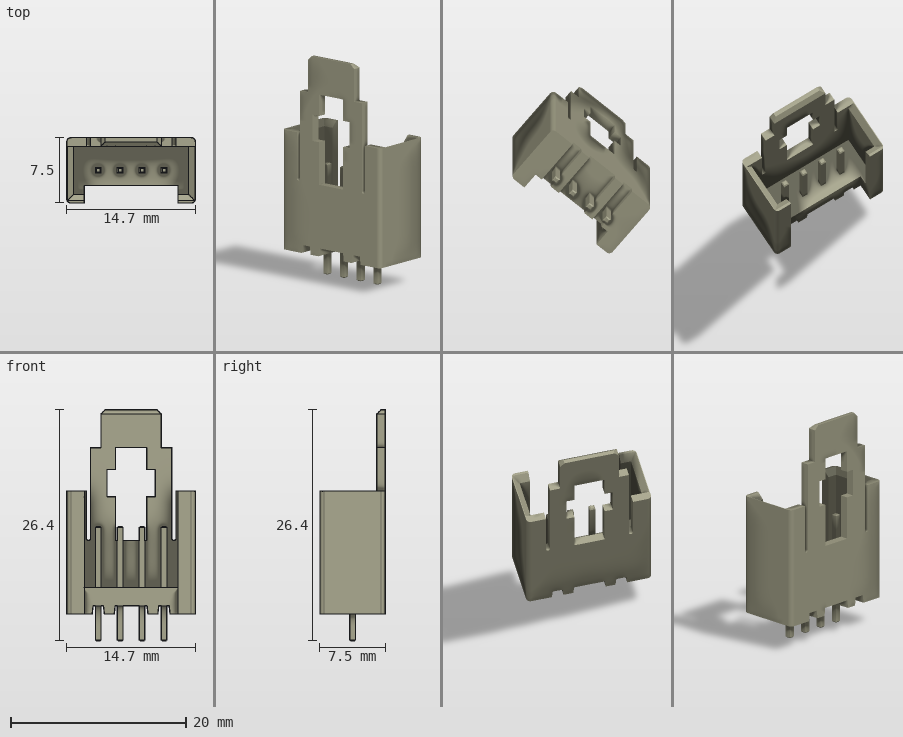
import cadquery as cq


total_height = 26.4

width = 14.7
depth = 7.5
housing_height = 14.07
corner_radius = 0.5
side_wall = 0.8
front_lip = 1.0
back_wall = 1.0
floor_top = 3.04
lead_in = 0.7

opening_width = 10.7
opening_depth = 2.0

latch_top = 23.35
latch_width = 9.3
shoulder_height = 19.0
head_width = 6.92
head_chamfer = 0.5

slot_width = 0.48
slot_bottom = 8.42
window_width = 3.56
window_wide_width = 5.5
window_wide_bottom = 13.4
window_wide_top = 16.5

notch_height = 0.95
notch_flare = 0.1
center_notch_width = 3.62
outer_notch_width = 1.15
outer_notch_x = 3.75

pin_count = 4
pin_pitch = 2.5
pin_size = 0.65
pin_top = 10.0
pin_bottom = latch_top - total_height
pin_chamfer = 0.13

back_y = depth / 2
front_y = -depth / 2
wall_face_y = back_y - back_wall
cavity_width = width - 2 * side_wall
cavity_depth = depth - front_lip - back_wall
cavity_y = (wall_face_y + front_y + front_lip) / 2


def block(x_size, y_min, y_max, z_min, z_max):
    """Box centred on X = 0, spanning the given Y and Z ranges."""
    size = (x_size, y_max - y_min, z_max - z_min)
    return cq.Workplane("XY").box(*size, centered=(True, False, False)).translate((0, y_min, z_min))


def make_shell():
    """Rounded housing with an open-topped cavity and a wide front opening."""
    shell = block(width, front_y, back_y, 0, housing_height).edges("|Z").fillet(corner_radius)
    cavity = block(cavity_width, front_y + front_lip, wall_face_y, floor_top, housing_height)
    opening = block(opening_width, front_y, front_y + opening_depth, 0, housing_height)
    return shell.cut(cavity).cut(make_lead_in()).cut(opening)


def make_lead_in():
    """45 degree flare around the cavity mouth, on the sides and front but not on the back wall."""
    flare = (
        cq.Workplane("XY", origin=(0, cavity_y, housing_height - lead_in))
        .rect(cavity_width, cavity_depth)
        .workplane(offset=lead_in)
        .rect(cavity_width + 2 * lead_in, cavity_depth + 2 * lead_in)
        .loft(ruled=True)
    )
    return flare.intersect(block(width, front_y, wall_face_y, 0, housing_height))


def make_latch():
    """Stepped plate standing on the back wall, its head chamfered at the front and sides."""
    head = block(head_width, wall_face_y, back_y, slot_bottom, latch_top)
    head = head.faces(">Z").edges("<Y or <X or >X").chamfer(head_chamfer)
    return head.union(block(latch_width, wall_face_y, back_y, slot_bottom, shoulder_height))


def make_window():
    """Cross-shaped opening through the latch plate."""
    tall = block(window_width, wall_face_y, back_y, slot_bottom, shoulder_height)
    wide = block(window_wide_width, wall_face_y, back_y, window_wide_bottom, window_wide_top)
    return tall.union(wide)


def make_slot(side):
    """Round-bottomed slot beside the latch plate; side is -1 or 1."""
    radius = slot_width / 2
    return (
        cq.Workplane("XZ", origin=(side * (latch_width + slot_width) / 2, back_y, 0))
        .moveTo(-radius, housing_height)
        .lineTo(-radius, slot_bottom + radius)
        .threePointArc((0, slot_bottom), (radius, slot_bottom + radius))
        .lineTo(radius, housing_height)
        .close()
        .extrude(back_wall)
    )


def make_notch(center_x, top_width):
    """Flared notch running front to back across the underside."""
    half_top = top_width / 2
    half_bottom = half_top + notch_flare
    outline = [(-half_bottom, 0), (half_bottom, 0), (half_top, notch_height), (-half_top, notch_height)]
    notch = cq.Workplane("XZ").polyline(outline).close().extrude(depth / 2, both=True)
    return notch.translate((center_x, 0, 0))


def make_pin(center_x):
    """Square pin through the floor, chamfered at both tips."""
    pin = block(pin_size, -pin_size / 2, pin_size / 2, pin_bottom, pin_top)
    return pin.faces("<Z or >Z").edges().chamfer(pin_chamfer).translate((center_x, 0, 0))


result = make_shell()
for side in (-1, 1):
    result = result.cut(make_slot(side))
    result = result.cut(make_notch(side * outer_notch_x, outer_notch_width))
result = result.cut(make_notch(0, center_notch_width))
result = result.union(make_latch()).cut(make_window())

for index in range(pin_count):
    result = result.union(make_pin((index - (pin_count - 1) / 2) * pin_pitch))